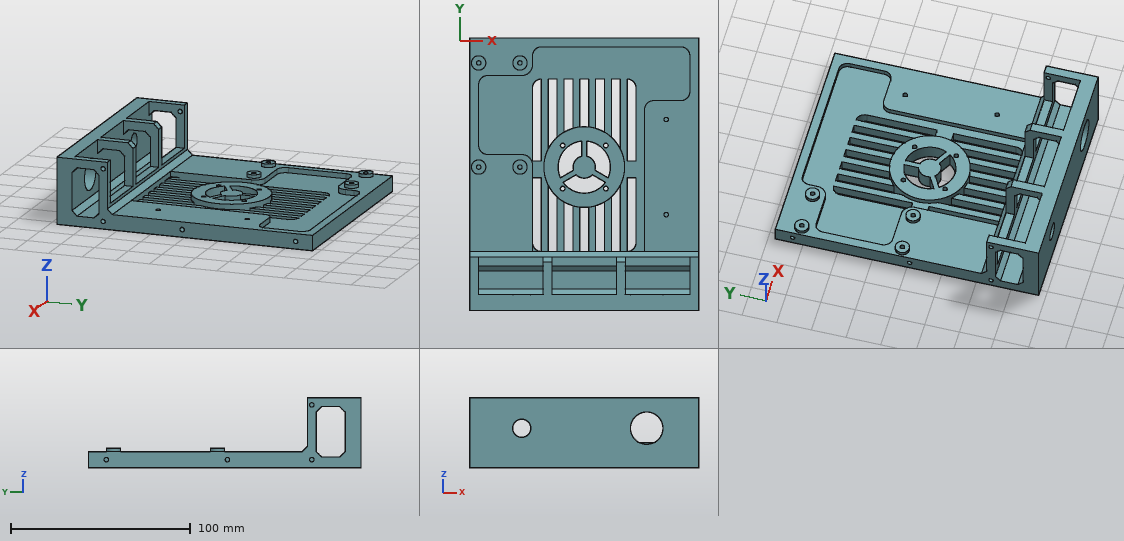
import cadquery as cq

WIDTH = 127.63
DEPTH = 152.0
HEIGHT = 39.0
PLATE_TOP = 9.0
CHAMFER = 3.0

BLOCK_DEPTH = 30.0
CELL_COUNT = 3
CELL_WALL = 5.0
CELL_WIDTH = (WIDTH - (CELL_COUNT + 1) * CELL_WALL) / CELL_COUNT
FRONT_WALL = 9.0
SILL_DEPTH = 5.0
SILL_TOP = 14.0

CHANNEL_BACK = BLOCK_DEPTH - SILL_DEPTH
CHANNEL_BOTTOM = 6.0
CHANNEL_TOP = HEIGHT - CELL_WALL

FRONT_HOLES = [(29.0, 10.0), (98.6, 18.0)]
FRONT_HOLE_Z = 22.0

GRILLE_MARGIN = 35.0

POCKET_FLOOR = 6.0
POCKET_MARGIN = 5.0
POCKET_LEFT = GRILLE_MARGIN
POCKET_RIGHT = 97.4
POCKET_FRONT = BLOCK_DEPTH + CHAMFER
POCKET_BACK = DEPTH - POCKET_MARGIN
LEFT_BAY_FRONT = 87.0
LEFT_BAY_BACK = 131.0
RIGHT_BAY_FRONT = 117.0
CORNER_RADIUS = 5.0
STANDOFF_CORNER_RADIUS = 6.0

GRILLE_WIDTH = WIDTH - 2 * GRILLE_MARGIN
GRILLE_FRONT = POCKET_FRONT
GRILLE_BACK = 129.0
RIB_COUNT = 6
RIB_WIDTH = 4.0
SLOT_WIDTH = (GRILLE_WIDTH - RIB_COUNT * RIB_WIDTH) / (RIB_COUNT + 1)
CROSSBAR_FRONT = 74.0
CROSSBAR_BACK = 83.5

FAN_X = WIDTH / 2
FAN_Y = 80.0
RING_DIAMETER = 45.0
RING_OPENING = 29.0
HUB_DIAMETER = 12.5
SPOKE_COUNT = 3
SPOKE_WIDTH = 3.0
FIRST_SPOKE_ANGLE = 90.0
FAN_HOLE_SPACING = 24.0

STANDOFF_DIAMETER = 8.0
STANDOFF_HEIGHT = 2.0
STANDOFF_POINTS = [(x, y) for x in (5.0, 28.0) for y in (FAN_Y, 138.0)]
SCREW_DIAMETER = 2.5
SCREW_DEPTH = 6.0
PLATE_SCREW_X = 109.5
PLATE_SCREW_POINTS = [(PLATE_SCREW_X, y) for y in (53.5, 106.5)]
SIDE_SCREW_Y = 27.5
SIDE_SCREW_Z = 4.5
UPPER_SIDE_SCREW_Z = 35.0
SIDE_SCREW_POINTS = [
    (SIDE_SCREW_Y, UPPER_SIDE_SCREW_Z),
    (SIDE_SCREW_Y, SIDE_SCREW_Z),
    (74.5, SIDE_SCREW_Z),
    (142.0, SIDE_SCREW_Z),
]


def box(x0, x1, y0, y1, z0, z1):
    """Box given by its limits along each axis."""
    return cq.Workplane("XY", origin=(x0, y0, z0)).box(x1 - x0, y1 - y0, z1 - z0, centered=False)


def cylinder(x, y, diameter, z0, z1):
    """Upright cylinder between two heights."""
    return cq.Workplane("XY", origin=(x, y, z0)).circle(diameter / 2).extrude(z1 - z0)


def make_body():
    """Plate and front block, joined by a 45 degree slope at the block's back face."""
    profile = [
        (0, 0),
        (DEPTH, 0),
        (DEPTH, PLATE_TOP),
        (BLOCK_DEPTH + CHAMFER, PLATE_TOP),
        (BLOCK_DEPTH, PLATE_TOP + CHAMFER),
        (BLOCK_DEPTH, HEIGHT),
        (0, HEIGHT),
    ]
    return cq.Workplane("YZ").polyline(profile).close().extrude(WIDTH)


def make_divider_bevels():
    """Wedges that bevel the top back edge of each divider between cells."""
    corner = (BLOCK_DEPTH, HEIGHT)
    profile = [corner, (BLOCK_DEPTH - CHAMFER, HEIGHT), (BLOCK_DEPTH, HEIGHT - CHAMFER)]
    wedge = cq.Workplane("YZ").polyline(profile).close().extrude(CELL_WALL)
    wedges = cq.Workplane("XY")
    for index in range(1, CELL_COUNT):
        wedges = wedges.union(wedge.translate((index * (CELL_WIDTH + CELL_WALL), 0, 0)))
    return wedges


def make_cells():
    """Cells open to the top and above a sill at the back."""
    cells = cq.Workplane("XY")
    for index in range(CELL_COUNT):
        x0 = CELL_WALL + index * (CELL_WIDTH + CELL_WALL)
        x1 = x0 + CELL_WIDTH
        cells = cells.union(box(x0, x1, FRONT_WALL, BLOCK_DEPTH, SILL_TOP, HEIGHT))
        cells = cells.union(box(x0, x1, FRONT_WALL, CHANNEL_BACK, PLATE_TOP, HEIGHT))
    return cells


def make_channel():
    """Rectangular channel with chamfered corners along X."""
    channel = box(0, WIDTH, FRONT_WALL, CHANNEL_BACK, CHANNEL_BOTTOM, CHANNEL_TOP)
    return channel.edges("|X").chamfer(CHAMFER)


def make_front_holes():
    """Connector holes through the front wall."""
    holes = cq.Workplane("XY")
    for x, diameter in FRONT_HOLES:
        start = cq.Workplane("XZ", origin=(x, 0, FRONT_HOLE_Z))
        holes = holes.union(start.circle(diameter / 2).extrude(-FRONT_WALL))
    return holes


def make_pocket():
    """Stepped pocket with rounded corners, square where it meets the block."""
    outline = [
        (POCKET_LEFT, POCKET_FRONT),
        (POCKET_LEFT, LEFT_BAY_FRONT),
        (POCKET_MARGIN, LEFT_BAY_FRONT),
        (POCKET_MARGIN, LEFT_BAY_BACK),
        (POCKET_LEFT, LEFT_BAY_BACK),
        (POCKET_LEFT, POCKET_BACK),
        (WIDTH - POCKET_MARGIN, POCKET_BACK),
        (WIDTH - POCKET_MARGIN, RIGHT_BAY_FRONT),
        (POCKET_RIGHT, RIGHT_BAY_FRONT),
        (POCKET_RIGHT, POCKET_FRONT),
    ]
    start = cq.Workplane("XY", origin=(0, 0, POCKET_FLOOR))
    pocket = start.polyline(outline).close().extrude(PLATE_TOP - POCKET_FLOOR)
    middle_height = (POCKET_FLOOR + PLATE_TOP) / 2
    for x, y in outline[1:-1]:
        beside_standoff = x == POCKET_LEFT and y != POCKET_BACK
        radius = STANDOFF_CORNER_RADIUS if beside_standoff else CORNER_RADIUS
        corner = cq.selectors.NearestToPointSelector((x, y, middle_height))
        pocket = pocket.edges(corner).fillet(radius)
    return pocket


def make_grille_slots():
    """Through slots between the ribs, interrupted by one crossbar."""
    grille_right = GRILLE_MARGIN + GRILLE_WIDTH
    slots = box(GRILLE_MARGIN, grille_right, GRILLE_FRONT, GRILLE_BACK, 0, POCKET_FLOOR)
    slots = slots.edges("|Z").fillet(CORNER_RADIUS)
    for index in range(RIB_COUNT):
        x0 = GRILLE_MARGIN + SLOT_WIDTH + index * (SLOT_WIDTH + RIB_WIDTH)
        slots = slots.cut(box(x0, x0 + RIB_WIDTH, GRILLE_FRONT, GRILLE_BACK, 0, POCKET_FLOOR))
    crossbar = box(GRILLE_MARGIN, grille_right, CROSSBAR_FRONT, CROSSBAR_BACK, 0, POCKET_FLOOR)
    return slots.cut(crossbar)


def make_fan_openings():
    """Ring-shaped opening around the hub, divided by the spokes."""
    openings = cylinder(FAN_X, FAN_Y, RING_OPENING, 0, PLATE_TOP)
    openings = openings.cut(cylinder(FAN_X, FAN_Y, HUB_DIAMETER, 0, PLATE_TOP))
    spoke = box(0, RING_OPENING, -SPOKE_WIDTH / 2, SPOKE_WIDTH / 2, 0, PLATE_TOP)
    for index in range(SPOKE_COUNT):
        angle = FIRST_SPOKE_ANGLE + index * 360 / SPOKE_COUNT
        turned = spoke.rotate((0, 0, 0), (0, 0, 1), angle)
        openings = openings.cut(turned.translate((FAN_X, FAN_Y, 0)))
    return openings


def make_fan_screw_holes():
    """Four through holes on a square around the fan axis."""
    start = cq.Workplane("XY", origin=(FAN_X, FAN_Y, 0))
    points = start.rect(FAN_HOLE_SPACING, FAN_HOLE_SPACING, forConstruction=True).vertices()
    return points.circle(SCREW_DIAMETER / 2).extrude(PLATE_TOP)


def make_top_screw_holes(points, top):
    """Blind screw holes drilled down from the given height."""
    start = cq.Workplane("XY", origin=(0, 0, top))
    return start.pushPoints(points).circle(SCREW_DIAMETER / 2).extrude(-SCREW_DEPTH)


def make_side_screw_holes():
    """Matching screw holes in the left and right faces, as deep as the end walls."""
    left = cq.Workplane("YZ").pushPoints(SIDE_SCREW_POINTS)
    left = left.circle(SCREW_DIAMETER / 2).extrude(CELL_WALL)
    return left.union(left.translate((WIDTH - CELL_WALL, 0, 0)))


result = make_body()
result = result.cut(make_divider_bevels())
result = result.cut(make_cells())
result = result.cut(make_channel())
result = result.cut(make_front_holes())

result = result.cut(make_pocket())
result = result.cut(make_grille_slots())
result = result.union(cylinder(FAN_X, FAN_Y, RING_DIAMETER, 0, PLATE_TOP))
result = result.cut(make_fan_openings())
result = result.cut(make_fan_screw_holes())

standoff_top = PLATE_TOP + STANDOFF_HEIGHT
for standoff_x, standoff_y in STANDOFF_POINTS:
    result = result.union(cylinder(standoff_x, standoff_y, STANDOFF_DIAMETER, PLATE_TOP, standoff_top))
result = result.cut(make_top_screw_holes(STANDOFF_POINTS, standoff_top))
result = result.cut(make_top_screw_holes(PLATE_SCREW_POINTS, PLATE_TOP))
result = result.cut(make_side_screw_holes())